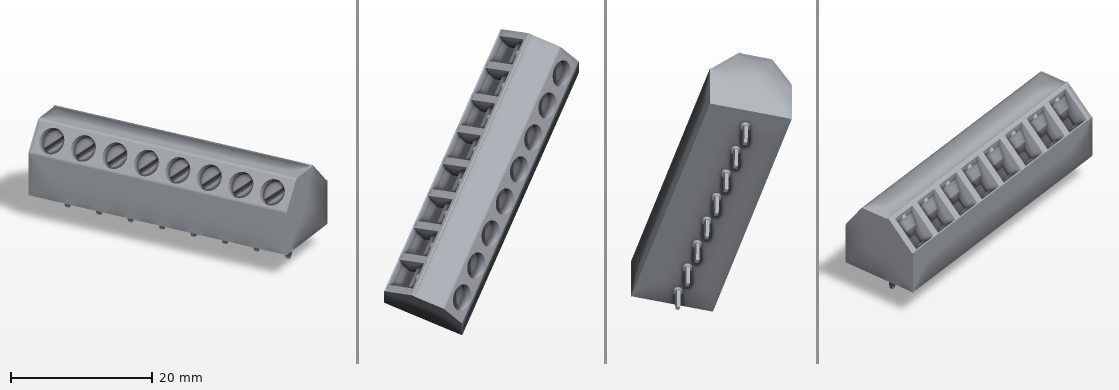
import cadquery as cq
import math

LENGTH = 41.65
DEPTH = 12.0
TOP_Z = 10.8
BACK_Z = 6.83
LEDGE_WIDTH = 0.2
FRONT_Z = 6.65
FRONT_TOP_Y = 2.87
EDGE_ROUND = 0.6
RIDGE_RADIUS = 0.25
RIDGE_HEIGHT = 0.15

POLES = 8
PITCH = 5.1

SCREW_DIAMETER = 3.85
SCREW_Z = 8.58
SCREW_RECESS = 1.4
SLOT_WIDTH = 0.75
SLOT_DEPTH = 1.0
SLOT_ANGLE = 45.0

ENTRY_TOP_Y = 8.05
ENTRY_WIDTH = 4.0
ENTRY_FLOOR_WIDTH = 2.75
LIP_Y = 8.95
LIP_DROP = 1.12
LIP_ANGLE = 60.0
LEAD_IN_Y = 11.1
LEAD_IN_ANGLE = 54.0
FUNNEL_Y = 10.25
FUNNEL_ANGLE = 15.0
FLOOR_Y = 9.9
STUD_RADIUS = 0.5
STUD_LENGTH = 1.25

COLLAR_DIAMETER = 1.3
COLLAR_HEIGHT = 0.5
PIN_WIDTH = 1.0
PIN_THICKNESS = 0.5
PIN_LENGTH = 3.55
TIP_WIDTH = 0.6
TIP_LENGTH = 0.9
PIN_ROOT = 0.4

COS_45 = math.sqrt(0.5)
SLOPE_FOOT_Y = DEPTH - LEDGE_WIDTH
SCREW_SLOPE = math.atan2(TOP_Z - FRONT_Z, FRONT_TOP_Y)
SCREW_OUT = cq.Vector(0, -math.sin(SCREW_SLOPE), math.cos(SCREW_SLOPE))


def wire_slope_z(y):
    """Height of the 45 degree wire slope at a given y."""
    return BACK_Z + SLOPE_FOOT_Y - y


def fall(run, angle):
    """Drop over a horizontal run on a face tilted by angle degrees."""
    return run * math.tan(math.radians(angle))


def make_body():
    ridge_z = TOP_Z + RIDGE_HEIGHT - RIDGE_RADIUS
    ridge_y = SLOPE_FOOT_Y + BACK_Z - RIDGE_RADIUS / COS_45 - ridge_z
    step_offset = math.sqrt(RIDGE_RADIUS**2 - (TOP_Z - ridge_z) ** 2)
    outline = (
        cq.Workplane("YZ", origin=(-LENGTH / 2, 0, 0))
        .polyline([
            (ridge_y - step_offset, TOP_Z),
            (FRONT_TOP_Y, TOP_Z),
            (0, FRONT_Z),
            (0, 0),
            (DEPTH, 0),
            (DEPTH, BACK_Z),
            (SLOPE_FOOT_Y, BACK_Z),
            (ridge_y + RIDGE_RADIUS * COS_45, ridge_z + RIDGE_RADIUS * COS_45),
        ])
        .threePointArc((ridge_y, ridge_z + RIDGE_RADIUS), (ridge_y - step_offset, TOP_Z))
        .close()
    )
    block = outline.extrude(LENGTH)
    slope_ends = cq.selectors.BoxSelector(
        (-LENGTH, -EDGE_ROUND, FRONT_Z - EDGE_ROUND),
        (LENGTH, FRONT_TOP_Y + EDGE_ROUND, TOP_Z + EDGE_ROUND),
    )
    return block.edges("|X").edges(slope_ends).fillet(EDGE_ROUND)


def make_screw_well():
    """Recess over a screw head, with the driver slot cut into the head."""
    center = cq.Vector(0, (SCREW_Z - FRONT_Z) / math.tan(SCREW_SLOPE), SCREW_Z)
    head = cq.Plane(center - SCREW_OUT * SCREW_RECESS, xDir=(1, 0, 0), normal=SCREW_OUT)
    well = cq.Workplane(head).circle(SCREW_DIAMETER / 2).extrude(2 * SCREW_RECESS)
    slot = (
        cq.Workplane(head)
        .transformed(rotate=(0, 0, SLOT_ANGLE))
        .rect(SCREW_DIAMETER, SLOT_WIDTH)
        .extrude(-SLOT_DEPTH)
    )
    head_disc = cq.Workplane(head).circle(SCREW_DIAMETER / 2).extrude(-SLOT_DEPTH)
    return well.union(slot.intersect(head_disc))


def make_wire_entry():
    """Funnel sunk into the wire slope, narrowing in width with depth."""
    lip_top_z = wire_slope_z(ENTRY_TOP_Y) - LIP_DROP
    lip_z = lip_top_z - fall(LIP_Y - ENTRY_TOP_Y, LIP_ANGLE)
    lead_in_z = BACK_Z - fall(SLOPE_FOOT_Y - LEAD_IN_Y, LEAD_IN_ANGLE)
    funnel_z = lead_in_z - fall(LEAD_IN_Y - FUNNEL_Y, FUNNEL_ANGLE)
    floor_z = funnel_z - (FUNNEL_Y - FLOOR_Y)
    side = (
        cq.Workplane("YZ", origin=(-ENTRY_WIDTH / 2, 0, 0))
        .polyline([
            (SLOPE_FOOT_Y, BACK_Z),
            (LEAD_IN_Y, lead_in_z),
            (FUNNEL_Y, funnel_z),
            (FLOOR_Y, floor_z),
            (LIP_Y, floor_z + FLOOR_Y - LIP_Y),
            (LIP_Y, lip_z),
            (ENTRY_TOP_Y, lip_top_z),
            (ENTRY_TOP_Y, wire_slope_z(ENTRY_TOP_Y)),
        ])
        .close()
        .extrude(ENTRY_WIDTH)
    )
    taper_depth = (wire_slope_z(FUNNEL_Y) - funnel_z) * COS_45
    across = cq.Plane((0, SLOPE_FOOT_Y, BACK_Z), xDir=(1, 0, 0), normal=(0, -1, 1))
    width_limit = (
        cq.Workplane(across)
        .polyline([
            (-ENTRY_WIDTH / 2, 0),
            (ENTRY_WIDTH / 2, 0),
            (ENTRY_FLOOR_WIDTH / 2, -taper_depth),
            (ENTRY_FLOOR_WIDTH / 2, -DEPTH),
            (-ENTRY_FLOOR_WIDTH / 2, -DEPTH),
            (-ENTRY_FLOOR_WIDTH / 2, -taper_depth),
        ])
        .close()
        .extrude(DEPTH, both=True)
    )
    stud_end = cq.Plane((0, ENTRY_TOP_Y, lip_top_z), xDir=(1, 0, 0), normal=(0, 1, -1))
    stud = cq.Workplane(stud_end).circle(STUD_RADIUS).extrude(-STUD_LENGTH)
    return side.intersect(width_limit).cut(stud)


def make_pin():
    """Flat solder pin with a tapered tip below a round collar."""
    collar = (
        cq.Workplane("XY", origin=(0, DEPTH / 2, -COLLAR_HEIGHT))
        .circle(COLLAR_DIAMETER / 2)
        .extrude(COLLAR_HEIGHT + PIN_ROOT)
    )
    blade = (
        cq.Workplane("XZ", origin=(0, DEPTH / 2, 0))
        .polyline([
            (-PIN_WIDTH / 2, PIN_ROOT),
            (-PIN_WIDTH / 2, TIP_LENGTH - PIN_LENGTH),
            (-TIP_WIDTH / 2, -PIN_LENGTH),
            (TIP_WIDTH / 2, -PIN_LENGTH),
            (PIN_WIDTH / 2, TIP_LENGTH - PIN_LENGTH),
            (PIN_WIDTH / 2, PIN_ROOT),
        ])
        .close()
        .extrude(PIN_THICKNESS / 2, both=True)
    )
    return collar.union(blade)


screw_well = make_screw_well()
wire_entry = make_wire_entry()
pin = make_pin()

result = make_body()
for pole in range(POLES):
    offset = ((pole - (POLES - 1) / 2) * PITCH, 0, 0)
    result = result.cut(screw_well.translate(offset))
    result = result.cut(wire_entry.translate(offset))
    result = result.union(pin.translate(offset))